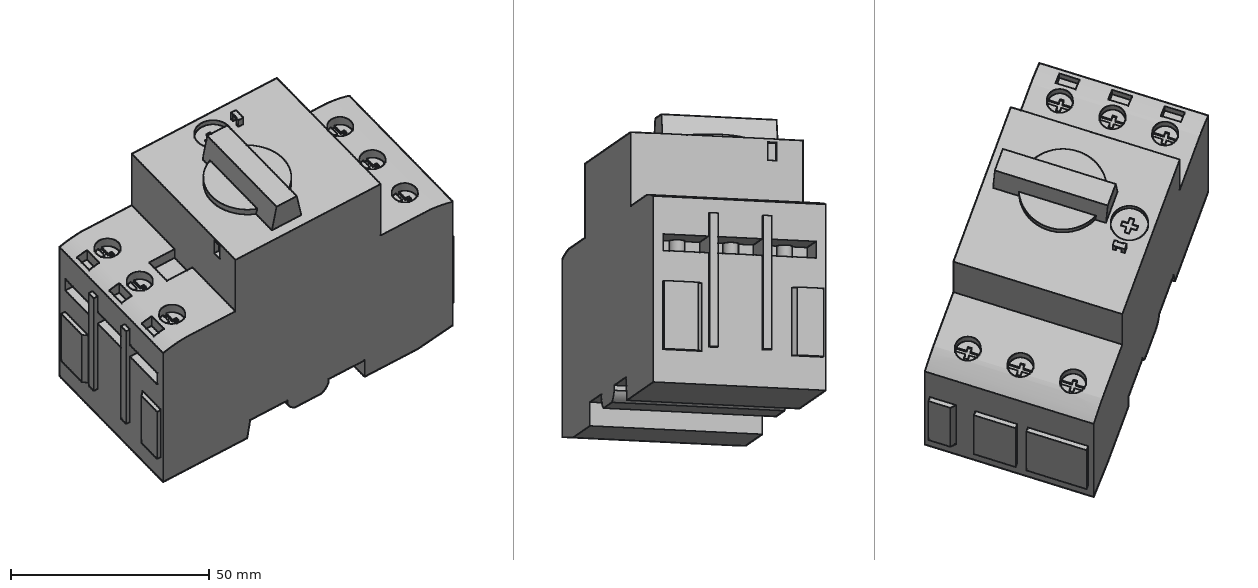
import cadquery as cq

width = 45.0
overall_depth = 92.2
overall_height = 76.0

relief = 1.2
housing_depth = overall_depth - 2 * relief
half_depth = housing_depth / 2
shoulder_z = 49.1
shoulder_edge_z = 47.7
shoulder_round_length = 6.7
shoulder_round_radius = 30.0
tower_depth = 45.0
tower_z = 68.1
heel_length = 10.9
heel_height = 2.0

rail_depth = 6.1
rail_rear_y = 17.5
rail_front_y = -17.9
rail_flare = 0.9
latch_width = 12.7
latch_bottom_z = 2.1
latch_bottom_width = 8.3
latch_side_z = 4.8
latch_corner_radius = 5.0

pole_pitch = 14.0
pole_xs = [-pole_pitch, 0, pole_pitch]
screw_y = 36.05
screw_diameter = 6.6
screw_well_depth = 2.9
screw_slot_width = 1.0
screw_cross_length = 3.3
screw_slot_depth = 0.7
probe_width = 5.35
probe_length = 3.1
probe_y = -42.0
probe_floor_z = 45.3

barrier_width = 2.2
wire_opening_width = pole_pitch - barrier_width
wire_opening_bottom_z = 33.8
wire_opening_top_z = 38.1
clamp_shaft_diameter = 4.1

barrier_bottom_z = 9.7
barrier_top_z = 43.9
plate_bottom_z = 8.5
front_plate_top_z = 25.9
front_left_plate_x = (-20.0, -9.9)
front_right_plate_x = (13.55, 21.6)
rear_plate_top_z = 32.7
rear_left_plate_x = (-21.0, -5.0)
rear_middle_plate_x = (-2.1, 9.0)
rear_right_plate_x = (14.1, 21.1)
bevel_rim = 0.01

notch_width = 7.7
notch_length = 7.9
notch_depth = 3.2

knob_y = -4.5
knob_disc_x = 2.5
knob_disc_diameter = 22.2
knob_disc_height = 1.8
grip_left_x = -10.5
grip_length = 30.1
grip_base_width = 9.1
grip_top_width = 6.3

dial_x = -16.1
dial_y = -1.8
dial_diameter = 9.5
dial_depth = 1.6
dial_cross_length = 4.15
dial_cross_width = 1.2
dial_cross_depth = 0.4

eye_x = -16.0
eye_width = 3.2
eye_rear_y = 6.4
eye_leg_depth = 1.6
eye_bar_depth = 1.4
eye_height = 2.4
eye_hole_width = 1.5
eye_hole_height = 1.8

window_left_x = 13.3
window_width = 2.4
window_bottom_z = 62.6
window_height = 4.7
window_depth = 1.4


def block(x, y, z):
    """Box given by its (start, end) ranges along each axis."""
    size = (x[1] - x[0], y[1] - y[0], z[1] - z[0])
    return cq.Workplane("XY").box(*size, centered=False).translate((x[0], y[0], z[0]))


def centred(middle, size):
    """Range of the given size about its middle."""
    return (middle - size / 2, middle + size / 2)


def cylinder(x, y, diameter, z):
    """Upright cylinder over the (start, end) range z."""
    return cq.Workplane("XY").center(x, y).circle(diameter / 2).extrude(z[1] - z[0]).translate((0, 0, z[0]))


def cross(x, y, length_x, length_y, slot_width, z):
    """Upright cross-shaped prism over the (start, end) range z."""
    along_x = block(centred(x, length_x), centred(y, slot_width), z)
    along_y = block(centred(x, slot_width), centred(y, length_y), z)
    return along_x.union(along_y)


def make_housing():
    """Side outline of the housing, run across the full width, with a slight crease at each shoulder round."""
    round_start_y = half_depth - shoulder_round_length
    half_tower = tower_depth / 2
    outline = (
        cq.Workplane("YZ")
        .moveTo(-half_depth, 0)
        .lineTo(rail_front_y - rail_flare, 0)
        .lineTo(rail_front_y, rail_depth)
        .lineTo(rail_rear_y, rail_depth)
        .lineTo(rail_rear_y, 0)
        .lineTo(half_depth - heel_length, 0)
        .lineTo(half_depth, heel_height)
        .lineTo(half_depth, shoulder_edge_z)
        .radiusArc((round_start_y, shoulder_z), -shoulder_round_radius)
        .lineTo(half_tower, shoulder_z)
        .lineTo(half_tower, tower_z)
        .lineTo(-half_tower, tower_z)
        .lineTo(-half_tower, shoulder_z)
        .lineTo(-round_start_y, shoulder_z)
        .radiusArc((-half_depth, shoulder_edge_z), -shoulder_round_radius)
        .close()
    )
    return outline.extrude(width / 2, both=True)


def make_latch():
    """Rail latch hanging from the roof of the rail slot."""
    half_width = latch_width / 2
    half_bottom = latch_bottom_width / 2
    outline = (
        cq.Workplane("YZ")
        .moveTo(half_width, rail_depth)
        .lineTo(half_width, latch_side_z)
        .radiusArc((half_bottom, latch_bottom_z), latch_corner_radius)
        .lineTo(-half_bottom, latch_bottom_z)
        .radiusArc((-half_width, latch_side_z), latch_corner_radius)
        .lineTo(-half_width, rail_depth)
        .close()
    )
    return outline.extrude(width / 2, both=True)


def make_screw_well(x, y):
    """Round well with the driver slots sunk into the screw head at its floor."""
    floor_z = shoulder_z - screw_well_depth
    well = cylinder(x, y, screw_diameter, (floor_z, shoulder_z))
    slot_z = (floor_z - screw_slot_depth, floor_z)
    slots = cross(x, y, screw_diameter, screw_cross_length, screw_slot_width, slot_z)
    head = cylinder(x, y, screw_diameter, slot_z)
    return well.union(slots.intersect(head))


def make_probe_hole(x):
    """Square-cornered test hole sunk into the rounded part of the front shoulder."""
    z = (probe_floor_z, shoulder_z)
    return block(centred(x, probe_width), centred(probe_y, probe_length), z)


def make_wire_opening(x):
    """Opening back to the screw axis, where half of the clamp shaft stands out of its rear wall."""
    z = (wire_opening_bottom_z, wire_opening_top_z)
    opening = block(centred(x, wire_opening_width), (-half_depth, -screw_y), z)
    return opening.cut(cylinder(x, -screw_y, clamp_shaft_diameter, z))


def make_barrier(x):
    """Upright rib on the front face, between two poles."""
    return block(
        centred(x, barrier_width),
        (-half_depth - relief, -half_depth),
        (barrier_bottom_z, barrier_top_z),
    )


def make_plate(x, side, top_z, bevelled_edge=None):
    """Plate on the front (side -1) or rear (side 1) face; one upright edge may be bevelled at 45 degrees."""
    y = sorted((side * half_depth, side * (half_depth + relief)))
    plate = block(x, y, (plate_bottom_z, top_z))
    if bevelled_edge is None:
        return plate
    outer = ">Y" if side > 0 else "<Y"
    return plate.faces(outer).edges(bevelled_edge).chamfer(relief - bevel_rim)


def make_knob():
    """Round base disc with a tapering grip across it."""
    disc = cylinder(knob_disc_x, knob_y, knob_disc_diameter, (tower_z, tower_z + knob_disc_height))
    half_base = grip_base_width / 2
    half_top = grip_top_width / 2
    grip = (
        cq.Workplane("YZ", origin=(grip_left_x, knob_y, 0))
        .moveTo(-half_base, tower_z)
        .lineTo(half_base, tower_z)
        .lineTo(half_top, overall_height)
        .lineTo(-half_top, overall_height)
        .close()
        .extrude(grip_length)
    )
    return disc.union(grip)


def make_dial_recess():
    """Round recess with a cross slot sunk into its floor."""
    floor_z = tower_z - dial_depth
    recess = cylinder(dial_x, dial_y, dial_diameter, (floor_z, tower_z))
    cross_z = (floor_z - dial_cross_depth, floor_z)
    slots = cross(dial_x, dial_y, dial_cross_length, dial_cross_length, dial_cross_width, cross_z)
    return recess.union(slots)


def make_sealing_eye():
    """Two legs joined at the top by a bar set back from their front."""
    top_z = tower_z + eye_height
    x = centred(eye_x, eye_width)
    eye = block(x, (eye_rear_y - eye_leg_depth, eye_rear_y), (tower_z, top_z))
    hole_x = centred(eye_x, eye_hole_width)
    hole = block(hole_x, (eye_rear_y - eye_leg_depth, eye_rear_y), (tower_z, tower_z + eye_hole_height))
    gap = block(hole_x, (eye_rear_y - eye_leg_depth, eye_rear_y - eye_bar_depth), (tower_z, top_z))
    return eye.cut(hole).cut(gap)


def make_indicator_window():
    """Shallow rectangular pocket in the front of the tower."""
    front_y = -tower_depth / 2
    return block(
        (window_left_x, window_left_x + window_width),
        (front_y, front_y + window_depth),
        (window_bottom_z, window_bottom_z + window_height),
    )


result = make_housing().union(make_latch())

for pole_x in pole_xs:
    for row_y in (-screw_y, screw_y):
        result = result.cut(make_screw_well(pole_x, row_y))
    result = result.cut(make_probe_hole(pole_x))
    result = result.cut(make_wire_opening(pole_x))

front_notch = block(
    centred(0, notch_width),
    (-tower_depth / 2 - notch_length, -tower_depth / 2),
    (shoulder_z - notch_depth, shoulder_z),
)
result = result.cut(front_notch).cut(make_indicator_window()).cut(make_dial_recess())

for barrier_x in (-pole_pitch / 2, pole_pitch / 2):
    result = result.union(make_barrier(barrier_x))
result = result.union(make_plate(front_left_plate_x, -1, front_plate_top_z, ">X"))
result = result.union(make_plate(front_right_plate_x, -1, front_plate_top_z, "<X"))
result = result.union(make_plate(rear_left_plate_x, 1, rear_plate_top_z))
result = result.union(make_plate(rear_middle_plate_x, 1, rear_plate_top_z))
result = result.union(make_plate(rear_right_plate_x, 1, rear_plate_top_z, "<X"))

result = result.union(make_knob()).union(make_sealing_eye())